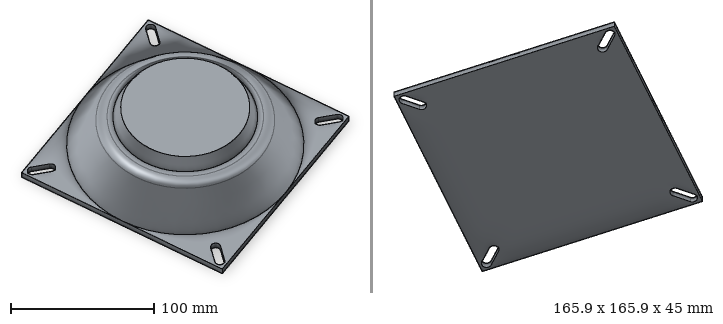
import cadquery as cq

plate_side = 165.9
plate_thickness = 5.0

total_height = 45.0
shoulder_height = 35.0
cone_base_radius = plate_side / 2
cone_top_radius = 59.5
shoulder_fillet = 10.0
cap_base_radius = 50.6
cap_top_radius = 45.1

slot_offset = 72.8
slot_length = 20.0
slot_width = 7.0


def make_plate():
    return cq.Workplane("XY").box(
        plate_side, plate_side, plate_thickness, centered=(True, True, False)
    )


def make_cone(base_z, top_z, base_radius, top_radius):
    profile = (
        cq.Workplane("XZ")
        .moveTo(0, base_z)
        .lineTo(base_radius, base_z)
        .lineTo(top_radius, top_z)
        .lineTo(0, top_z)
        .close()
    )
    return profile.revolve(360, (0, 0, 0), (0, 1, 0))


def make_slot(x_side, y_side):
    return (
        cq.Workplane("XY")
        .center(x_side * slot_offset, y_side * slot_offset)
        .slot2D(slot_length, slot_width, 45 * x_side * y_side)
        .extrude(plate_thickness)
    )


lower_cone = make_cone(plate_thickness, shoulder_height, cone_base_radius, cone_top_radius)
lower_cone = lower_cone.faces(">Z").edges().fillet(shoulder_fillet)
cap = make_cone(shoulder_height, total_height, cap_base_radius, cap_top_radius)

result = make_plate().union(lower_cone).union(cap)
for x_side in (-1, 1):
    for y_side in (-1, 1):
        result = result.cut(make_slot(x_side, y_side))